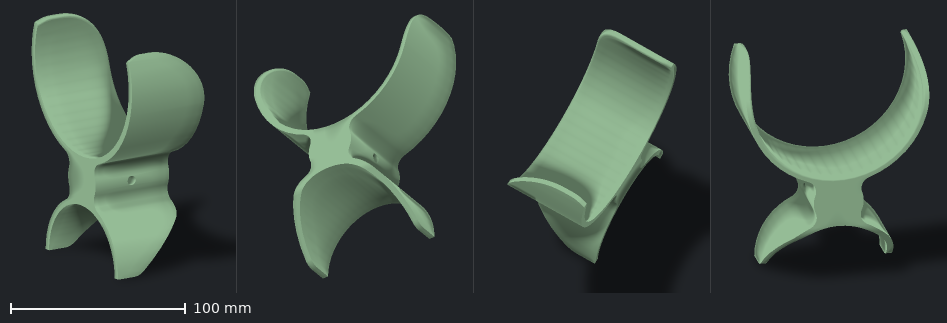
import cadquery as cq
import math

height = 135.0
depth = 50.0
wall = 3.6

upper_inner_radius = 50.0
lower_inner_radius = 35.0
web_height = 29.3
upper_outer_radius = upper_inner_radius + wall
lower_outer_radius = lower_inner_radius + wall
upper_centre_z = lower_inner_radius + web_height + upper_inner_radius

web_radius = web_height / 2
web_centre_z = lower_inner_radius + web_radius
blend_radius = 7.0
hole_diameter = 5.5
hole_y = 24.6

arm_back_radius = 35.0
arm_front_radius = 15.0
arm_front_arc_start = 9.5
arm_front_arc_end = 3.2

slope_angle = math.radians(40.4)
slope_foot_y = 14.6
slope_blend_radius = 10.0

rim_radius = 1.5
tolerance = 0.001


def blend_centre(cradle_radius, cradle_z):
    """Centre (right side) of the arc tangent to a cradle's outside and to the web bulge."""
    direction = math.copysign(1, cradle_z - web_centre_z)
    spacing = abs(cradle_z - web_centre_z)
    to_web = web_radius + blend_radius
    to_cradle = cradle_radius + blend_radius
    along = (to_web**2 - to_cradle**2 + spacing**2) / (2 * spacing)
    return math.sqrt(to_web**2 - along**2), web_centre_z + direction * along


def point_towards(start, end, distance):
    """Point at the given distance from start on the line to end."""
    fraction = distance / math.dist(start, end)
    return tuple(a + fraction * (b - a) for a, b in zip(start, end))


def mirrored(point):
    return -point[0], point[1]


def disc(radius, centre_z):
    """Cylinder along Y through the full depth."""
    return cq.Workplane("XZ").center(0, centre_z).circle(radius).extrude(-depth)


def blended_web():
    """Web between the cradle centres, with each concave side arc tangent to its neighbours."""
    web_centre = (0, web_centre_z)
    lower_blend = blend_centre(lower_outer_radius, 0)
    upper_blend = blend_centre(upper_outer_radius, upper_centre_z)
    lower_end = point_towards((0, 0), lower_blend, lower_outer_radius)
    upper_end = point_towards((0, upper_centre_z), upper_blend, upper_outer_radius)
    bulge_low = point_towards(web_centre, lower_blend, web_radius)
    bulge_high = point_towards(web_centre, upper_blend, web_radius)

    def blend_middle(centre, start, end):
        chord_middle = ((start[0] + end[0]) / 2, (start[1] + end[1]) / 2)
        return point_towards(centre, chord_middle, blend_radius)

    lower_middle = blend_middle(lower_blend, lower_end, bulge_low)
    upper_middle = blend_middle(upper_blend, bulge_high, upper_end)
    return (
        cq.Workplane("XZ")
        .moveTo(0, 0)
        .lineTo(*lower_end)
        .threePointArc(lower_middle, bulge_low)
        .threePointArc((web_radius, web_centre_z), bulge_high)
        .threePointArc(upper_middle, upper_end)
        .lineTo(0, upper_centre_z)
        .lineTo(*mirrored(upper_end))
        .threePointArc(mirrored(upper_middle), mirrored(bulge_high))
        .threePointArc((-web_radius, web_centre_z), mirrored(bulge_low))
        .threePointArc(mirrored(lower_middle), mirrored(lower_end))
        .close()
        .extrude(-depth)
    )


def side_envelope():
    """Side outline of the part, extruded across its full width."""
    arc_centre_y = depth - arm_back_radius
    arc_centre_z = height - arm_back_radius
    back_middle = arm_back_radius * math.sqrt(0.5)

    def front_arc_z(y):
        return height - arm_front_radius + math.sqrt(arm_front_radius**2 - (arm_front_arc_start - y) ** 2)

    arc_end_z = front_arc_z(arm_front_arc_end)
    arc_middle_y = (arm_front_arc_start + arm_front_arc_end) / 2
    arc_end_drop = arm_front_arc_start - arm_front_arc_end
    end_slope = arc_end_drop / math.sqrt(arm_front_radius**2 - arc_end_drop**2)
    front_top_z = arc_end_z - end_slope * arm_front_arc_end

    slope_top_z = (depth - slope_foot_y) * math.tan(slope_angle)
    slope_foot = (slope_foot_y, 0)
    slope_top = (depth, slope_top_z)
    envelope = (
        cq.Workplane("YZ")
        .moveTo(0, 0)
        .lineTo(*slope_foot)
        .lineTo(*slope_top)
        .lineTo(depth, arc_centre_z)
        .threePointArc((arc_centre_y + back_middle, arc_centre_z + back_middle), (arc_centre_y, height))
        .lineTo(arm_front_arc_start, height)
        .threePointArc((arc_middle_y, front_arc_z(arc_middle_y)), (arm_front_arc_end, arc_end_z))
        .lineTo(0, front_top_z)
        .close()
        .extrude(upper_outer_radius, both=True)
    )
    for y, z in (slope_foot, slope_top):
        envelope = envelope.edges(cq.selectors.NearestToPointSelector((0, y, z))).fillet(slope_blend_radius)
    return envelope


def round_upper_rim(body):
    """Round the inner edge of the upper cradle along its back and its arm ends."""
    def on_rim(edge):
        points = [edge.positionAt(fraction) for fraction in (0, 0.5, 1)]
        on_inner_face = all(
            abs(math.hypot(point.x, point.z - upper_centre_z) - upper_inner_radius) < tolerance
            for point in points
        )
        return on_inner_face and points[1].y > tolerance

    rim = [edge for edge in body.edges().vals() if on_rim(edge)]
    return body.newObject(rim).fillet(rim_radius)


body = disc(upper_outer_radius, upper_centre_z).union(disc(lower_outer_radius, 0)).union(blended_web())
body = body.cut(disc(upper_inner_radius, upper_centre_z)).cut(disc(lower_inner_radius, 0))
body = body.intersect(side_envelope())
body = round_upper_rim(body)

cross_hole = (
    cq.Workplane("YZ")
    .center(hole_y, web_centre_z)
    .circle(hole_diameter / 2)
    .extrude(upper_outer_radius, both=True)
)
result = body.cut(cross_hole)